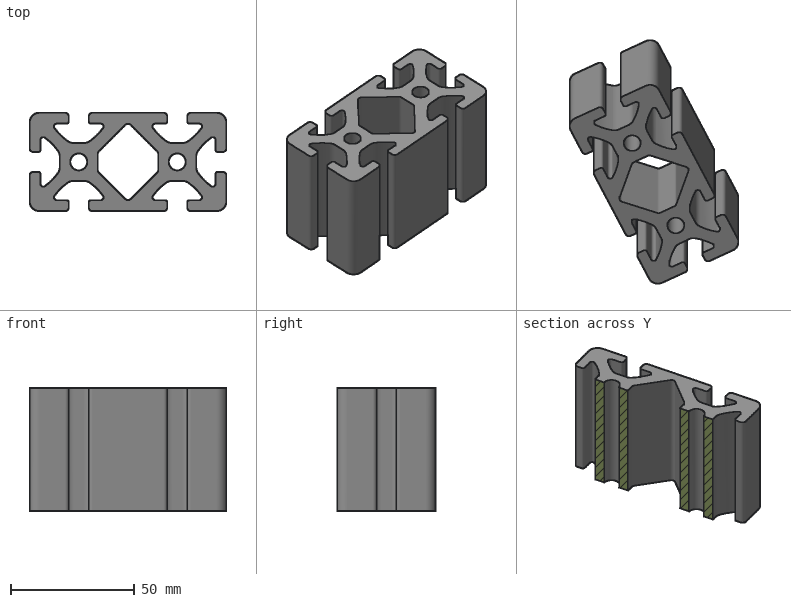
import cadquery as cq
import math

module = 40.0
length = 50.0
corner_radius = 4.0

slot_width = 8.0
slot_depth = 12.2
lip_thickness = 4.5
lip_outer_radius = 1.5
lip_inner_radius = 1.0
floor_radius = 4.1
tip_radius = 1.1

flank_radius = 22.4
flank_crown_height = 11.0
flank_offset = 3.5

core_bore_diameter = 6.8
hollow_wall = 7.8
hollow_offset = 3.9
hollow_radius = 1.5

half_module = module / 2
half_opening = slot_width / 2
slot_overcut = 0.8

slots = [
    (-half_module, 0),
    (half_module, 0),
    (-half_module, 180),
    (half_module, 180),
    (-half_module, 90),
    (half_module, -90),
]


def round_edges(body, corners, radius):
    """Round the vertical edges that pass through the given XY corners."""
    for x, y in corners:
        nearest = cq.selectors.NearestToPointSelector((x, y, length / 2))
        body = body.edges("|Z").edges(nearest).fillet(radius)
    return body


def slot_cutter():
    """T-slot void opening toward +Y, measured from the core centre."""
    floor = half_module - slot_depth
    lip_underside = half_module - lip_thickness
    mouth = half_module + slot_overcut

    crown_x = flank_crown_height - flank_offset
    flank_centre_x = crown_x - flank_radius * math.sqrt(0.5)
    flank_centre_y = flank_crown_height + flank_radius * math.sqrt(0.5)

    def flank_x(height):
        return flank_centre_x + math.sqrt(flank_radius**2 - (flank_centre_y - height) ** 2)

    floor_end = flank_x(floor)
    tip = flank_x(lip_underside)
    cutter = (
        cq.Workplane("XY")
        .moveTo(-floor_end, floor)
        .lineTo(floor_end, floor)
        .threePointArc((crown_x, flank_crown_height), (tip, lip_underside))
        .lineTo(half_opening, lip_underside)
        .lineTo(half_opening, mouth)
        .lineTo(-half_opening, mouth)
        .lineTo(-half_opening, lip_underside)
        .lineTo(-tip, lip_underside)
        .threePointArc((-crown_x, flank_crown_height), (-floor_end, floor))
        .close()
        .extrude(length)
    )
    for x, y, radius in (
        (floor_end, floor, floor_radius),
        (tip, lip_underside, tip_radius),
        (half_opening, lip_underside, lip_inner_radius),
    ):
        cutter = round_edges(cutter, [(-x, y), (x, y)], radius)
    return cutter


def outer_lip_corners(centre_x, turn):
    """Two sharp corners where a slot meets the outer face."""
    angle = math.radians(turn)
    corners = []
    for across in (-half_opening, half_opening):
        x = centre_x + across * math.cos(angle) - half_module * math.sin(angle)
        y = across * math.sin(angle) + half_module * math.cos(angle)
        corners.append((x, y))
    return corners


def central_hollow():
    """Six-sided void between the two cores, bounded by the diagonal webs."""
    wall = half_module - hollow_wall
    wall_end = hollow_wall - hollow_offset
    apex = half_module - hollow_offset
    outline = [
        (-wall, -wall_end), (0, -apex), (wall, -wall_end),
        (wall, wall_end), (0, apex), (-wall, wall_end),
    ]
    hollow = cq.Workplane("XY").polyline(outline).close().extrude(length)
    return hollow.edges("|Z").fillet(hollow_radius)


profile = cq.Workplane("XY").rect(2 * module, module).extrude(length)
profile = profile.edges("|Z").fillet(corner_radius)

cutter = slot_cutter()
for centre_x, turn in slots:
    placed = cutter.rotate((0, 0, 0), (0, 0, 1), turn).translate((centre_x, 0, 0))
    profile = profile.cut(placed)
    profile = round_edges(profile, outer_lip_corners(centre_x, turn), lip_outer_radius)

core_centres = [(-half_module, 0), (half_module, 0)]
bores = cq.Workplane("XY").pushPoints(core_centres).circle(core_bore_diameter / 2).extrude(length)
result = profile.cut(bores).cut(central_hollow())